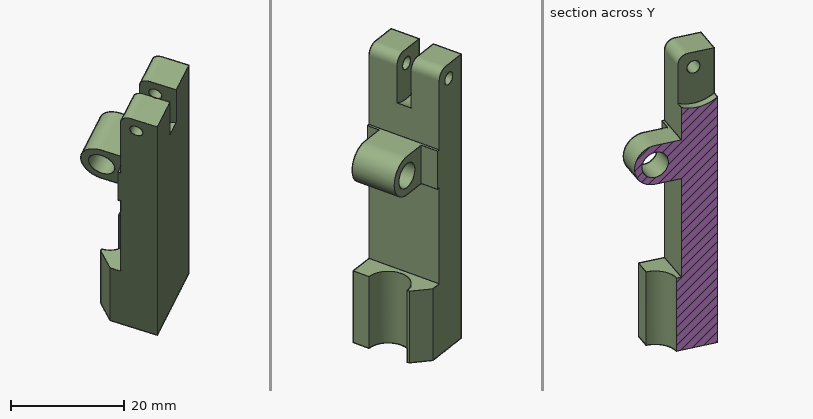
import cadquery as cq

bar_depth = 7.0
bar_width = 15.0
bar_height = 59.38
top_round_radius = 2.0

foot_depth = 12.0
foot_height = 15.0
foot_chamfer = 3.0
groove_radius = 4.07

pad_thickness = 0.5
lug_radius = 4.0
lug_bore_diameter = 5.0
lug_width = 9.0
lug_side_inset = 3.5
lug_axis_x = -foot_depth
lug_axis_z = 39.0

pin_diameter = 2.5
pin_x = -4.0
pin_drop = 3.0
pin_z = bar_height - pin_drop
slot_width = 3.0
slot_floor_radius = 7.4


def box(x_min, x_max, y_min, y_max, z_min, z_max):
    """Box given by its limits along each axis."""
    size = (x_max - x_min, y_max - y_min, z_max - z_min)
    return cq.Workplane("XY").box(*size, centered=False).translate((x_min, y_min, z_min))


def cross_cylinder(x, z, radius, y_min, width):
    """Cylinder along Y, starting at y_min and running toward +Y."""
    axis_start = cq.Vector(x, y_min, z)
    return cq.Workplane(cq.Solid.makeCylinder(radius, width, axis_start, cq.Vector(0, 1, 0)))


def make_bar():
    """Upright bar with its front top edge rounded."""
    bar = box(-bar_depth, 0, 0, bar_width, 0, bar_height)
    return bar.edges("<X and >Z").fillet(top_round_radius)


def make_foot():
    """Block with one chamfered corner and a half-round vertical groove in its front."""
    foot = box(-foot_depth, 0, 0, bar_width, 0, foot_height)
    foot = foot.edges("|Z and <X and <Y").chamfer(foot_chamfer)
    groove = cq.Workplane("XY").center(-foot_depth, bar_width / 2).circle(groove_radius).extrude(foot_height)
    return foot.cut(groove)


def make_lug():
    """Pad and round-ended lug, before boring."""
    z_min = lug_axis_z - lug_radius
    z_max = lug_axis_z + lug_radius
    pad = box(-bar_depth - pad_thickness, 0, 0, bar_width, z_min, z_max)
    arm = box(lug_axis_x, 0, lug_side_inset, lug_side_inset + lug_width, z_min, z_max)
    nose = cross_cylinder(lug_axis_x, lug_axis_z, lug_radius, lug_side_inset, lug_width)
    return pad.union(arm).union(nose)


lug_bore = cross_cylinder(lug_axis_x, lug_axis_z, lug_bore_diameter / 2, 0, bar_width)
pin_hole = cross_cylinder(pin_x, pin_z, pin_diameter / 2, 0, bar_width)
slot = cross_cylinder(pin_x, pin_z, slot_floor_radius, (bar_width - slot_width) / 2, slot_width)

result = make_bar().union(make_foot()).union(make_lug())
result = result.cut(lug_bore).cut(pin_hole).cut(slot)